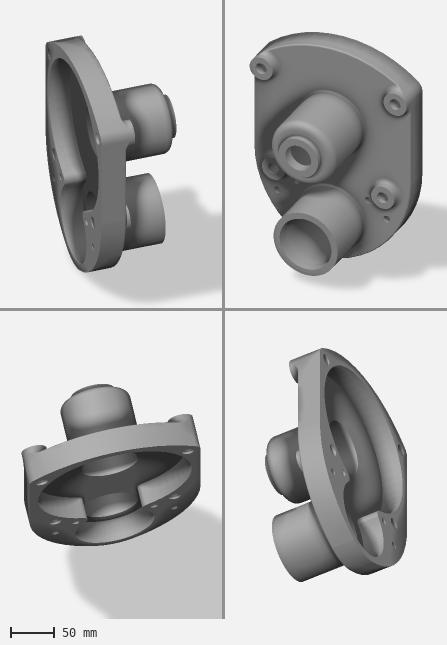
import cadquery as cq
import math

width = 200.8
top_height = 100.0
top_radius = 150.0
side_radius = 130.0
bottom_radius = 54.8
corner_radius = 14.5
axis_spacing = 126.0
plate_depth = 30.0
edge_round = 2.0

main_cavity_radius = 90.0
lower_cavity_radius = 46.3
cavity_depth = 26.5
cavity_lip_radius = 8.0

boss_radius = 41.0
main_boss_end = 108.0
main_boss_round = 8.7
lower_boss_end = 97.5
boss_base_fillet = 3.0
spigot_radius = 25.3
spigot_end = 115.7

bore_radius = 33.0
main_bore_end = 97.5
recess_radius = 25.3
recess_end = 103.0
shaft_hole_radius = 16.3

pad_overhang = 0.05
pad_end = 40.7
pad_base_fillet = 6.0
mount_hole_radius = 7.0
lower_mount_x = 70.0
lower_mount_z = -75.3
pin_hole_radius = 4.2
inner_pin_x = 46.0
inner_pin_z = -91.0
outer_pin_x = lower_mount_x
outer_pin_z = -109.8

pad_radius = corner_radius + pad_overhang

top_arc_z = top_height - top_radius
half_width = width / 2
corner_x = half_width - corner_radius
corner_z = top_arc_z + math.sqrt((top_radius - corner_radius) ** 2 - corner_x**2)
corner_points = [(side * corner_x, corner_z) for side in (-1, 1)]
lower_mount_points = [(side * lower_mount_x, lower_mount_z) for side in (-1, 1)]
mount_points = corner_points + lower_mount_points
pin_points = [
    (side * x, z)
    for side in (-1, 1)
    for x, z in ((inner_pin_x, inner_pin_z), (outer_pin_x, outer_pin_z))
]
main_axis = (0, 0)
lower_axis = (0, -axis_spacing)


def sketch_at(depth):
    """Sketch plane parallel to the front face, with +Z up; extruding a negative length goes toward +Y."""
    return cq.Workplane("XZ", origin=(0, depth, 0))


def cylinder(points, radius, start, end):
    return sketch_at(start).pushPoints(points).circle(radius).extrude(start - end)


def flared_post(point, radius, fillet, start, end):
    """Round boss from start to end, with a concave fillet where it leaves the back of the plate."""
    x, z = point
    foot_radius = radius + fillet
    arc_middle = fillet * (1 - math.sqrt(0.5))
    profile = (
        cq.Workplane("XY", origin=(x, 0, z))
        .moveTo(0, start)
        .lineTo(foot_radius, start)
        .lineTo(foot_radius, plate_depth)
        .threePointArc((radius + arc_middle, plate_depth + arc_middle), (radius, plate_depth + fillet))
        .lineTo(radius, end)
        .lineTo(0, end)
        .close()
    )
    return profile.revolve(360, (0, 0, 0), (0, 1, 0))


def outline_prism(depth):
    """Closed outline of tangent arcs and straight sides, extruded back from the front face."""
    side_arc_x = half_width - side_radius
    side_arc_z = -axis_spacing + math.sqrt((side_radius - bottom_radius) ** 2 - side_arc_x**2)

    corner_top_x = corner_x * top_radius / (top_radius - corner_radius)
    corner_top_z = top_arc_z + (corner_z - top_arc_z) * top_radius / (top_radius - corner_radius)
    bottom_ratio = bottom_radius / (side_radius - bottom_radius)
    bottom_x = -side_arc_x * bottom_ratio
    bottom_z = -axis_spacing - (side_arc_z + axis_spacing) * bottom_ratio

    corner_angle = math.atan2(corner_top_z - corner_z, corner_top_x - corner_x) / 2
    corner_mid_x = corner_x + corner_radius * math.cos(corner_angle)
    corner_mid_z = corner_z + corner_radius * math.sin(corner_angle)
    side_angle = math.atan2(bottom_z - side_arc_z, bottom_x - side_arc_x) / 2
    side_mid_x = side_arc_x + side_radius * math.cos(side_angle)
    side_mid_z = side_arc_z + side_radius * math.sin(side_angle)

    return (
        sketch_at(0)
        .moveTo(-corner_top_x, corner_top_z)
        .threePointArc((0, top_height), (corner_top_x, corner_top_z))
        .threePointArc((corner_mid_x, corner_mid_z), (half_width, corner_z))
        .lineTo(half_width, side_arc_z)
        .threePointArc((side_mid_x, side_mid_z), (bottom_x, bottom_z))
        .threePointArc((0, -axis_spacing - bottom_radius), (-bottom_x, bottom_z))
        .threePointArc((-side_mid_x, side_mid_z), (-half_width, side_arc_z))
        .lineTo(-half_width, corner_z)
        .threePointArc((-corner_mid_x, corner_mid_z), (-corner_top_x, corner_top_z))
        .close()
        .extrude(-depth)
    )


def plate():
    """Plate with raised pads trimmed to the outline, and a round along its back edge."""
    body = outline_prism(plate_depth)
    limit = outline_prism(pad_end)
    for point in mount_points:
        pad = flared_post(point, pad_radius, pad_base_fillet, cavity_depth, pad_end)
        body = body.union(pad.intersect(limit))

    rim_points = [(0, plate_depth, top_height), (half_width, plate_depth, 0)]
    for point in rim_points:
        body = body.edges(cq.selectors.NearestToPointSelector(point)).fillet(edge_round)
    return body


def bosses():
    main = flared_post(main_axis, boss_radius, boss_base_fillet, cavity_depth, main_boss_end)
    main = main.faces(">Y").edges().fillet(main_boss_round)
    spigot = cylinder([main_axis], spigot_radius, cavity_depth, spigot_end)
    lower = flared_post(lower_axis, boss_radius, boss_base_fillet, cavity_depth, lower_boss_end)
    return main.union(spigot).union(lower)


def cavity():
    """Two overlapping round pockets with rounded lips where they meet."""
    pockets = cylinder([main_axis], main_cavity_radius, 0, cavity_depth)
    pockets = pockets.union(cylinder([lower_axis], lower_cavity_radius, 0, cavity_depth))
    lip_z = (lower_cavity_radius**2 - main_cavity_radius**2 - axis_spacing**2) / (2 * axis_spacing)
    lip_x = math.sqrt(main_cavity_radius**2 - lip_z**2)
    for side in (-1, 1):
        lip = cq.selectors.NearestToPointSelector((side * lip_x, cavity_depth / 2, lip_z))
        pockets = pockets.edges(lip).fillet(cavity_lip_radius)
    return pockets


result = plate().union(bosses()).cut(cavity())
result = result.cut(cylinder([main_axis], bore_radius, 0, main_bore_end))
result = result.cut(cylinder([main_axis], recess_radius, 0, recess_end))
result = result.cut(cylinder([main_axis], shaft_hole_radius, 0, spigot_end))
result = result.cut(cylinder([lower_axis], bore_radius, 0, lower_boss_end))
result = result.cut(cylinder(mount_points, mount_hole_radius, 0, pad_end))
result = result.cut(cylinder(pin_points, pin_hole_radius, 0, plate_depth))